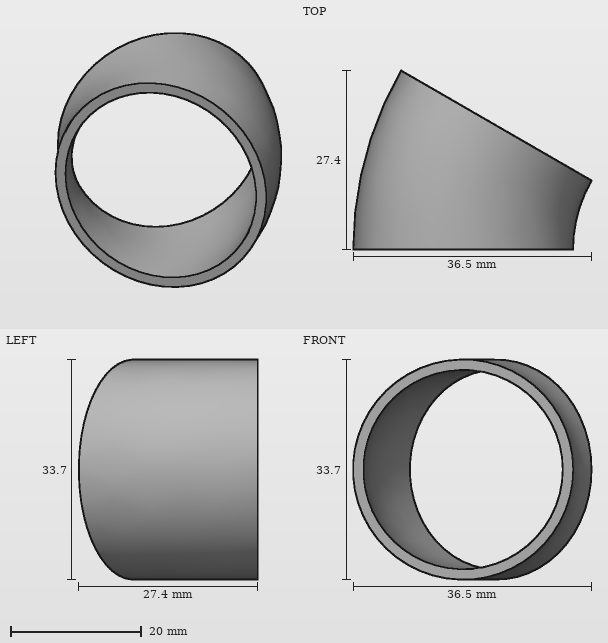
import cadquery as cq
import math

overall_length = 36.53
bend_radius = 38.0
bend_angle = 30.0
wall = 1.6

bend_cosine = math.cos(math.radians(bend_angle))
outer_radius = (overall_length - bend_radius * (1 - bend_cosine)) / (1 + bend_cosine)
inner_radius = outer_radius - wall

result = (
    cq.Workplane("XZ")
    .circle(outer_radius)
    .circle(inner_radius)
    .revolve(bend_angle, (bend_radius, 0.35, 0), (bend_radius, 0, 0))
)